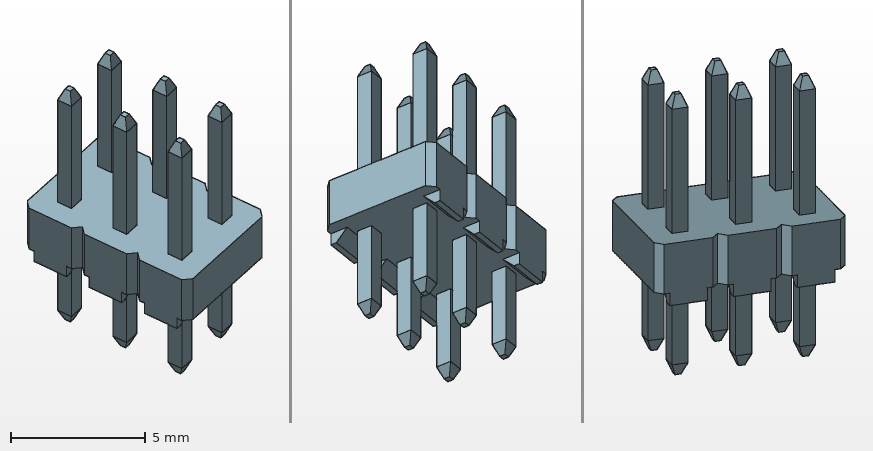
import cadquery as cq

columns = 3
rows = 2
pitch = 2.54

block_length = columns * pitch
block_width = 5.0
block_height = 2.0
notch_depth = 0.3

foot_length = 1.5
foot_height = 0.5
foot_bottom_width = 0.25
foot_top_width = foot_bottom_width + foot_height

pin_side = 0.64
pin_tip_side = 0.24
pin_tip_length = 0.5
pin_length = 11.3
pin_above_block = 5.5

block_top = foot_height + block_height
pin_top = block_top + pin_above_block
pin_bottom = pin_top - pin_length


def centred_positions(count):
    """Positions spaced by the pitch and centred on zero."""
    return [(index - (count - 1) / 2) * pitch for index in range(count)]


column_positions = centred_positions(columns)
row_positions = centred_positions(rows)


def make_block():
    """Rectangular block with chamfered corners and V-grooves between columns."""
    block = (
        cq.Workplane("XY", origin=(0, 0, foot_height))
        .rect(block_length, block_width)
        .extrude(block_height)
        .edges("|Z")
        .chamfer(notch_depth)
    )
    groove_positions = [
        (x, y)
        for x in centred_positions(columns - 1)
        for y in (-block_width / 2, block_width / 2)
    ]
    grooves = (
        cq.Workplane("XY", origin=(0, 0, foot_height))
        .pushPoints(groove_positions)
        .polygon(4, 2 * notch_depth)
        .extrude(block_height)
    )
    return block.cut(grooves)


def make_foot(x, side):
    """Foot below one column; side is -1 or +1 for the -Y or +Y long side."""
    outer_y = side * block_width / 2
    return (
        cq.Workplane("YZ", origin=(x - foot_length / 2, 0, 0))
        .moveTo(outer_y, 0)
        .lineTo(outer_y, foot_height)
        .lineTo(outer_y - side * foot_top_width, foot_height)
        .lineTo(outer_y - side * foot_bottom_width, 0)
        .close()
        .extrude(foot_length)
    )


def make_tip(x, y, base_z, direction):
    """Tapered pin end running from base_z up (+1) or down (-1)."""
    return (
        cq.Workplane("XY", origin=(x, y, base_z))
        .rect(pin_side, pin_side)
        .workplane(offset=direction * pin_tip_length)
        .rect(pin_tip_side, pin_tip_side)
        .loft(ruled=True)
    )


def make_pin(x, y):
    """Square pin tapered at both ends."""
    shank_bottom = pin_bottom + pin_tip_length
    shank_top = pin_top - pin_tip_length
    shank = (
        cq.Workplane("XY", origin=(x, y, shank_bottom))
        .rect(pin_side, pin_side)
        .extrude(shank_top - shank_bottom)
    )
    return shank.union(make_tip(x, y, shank_top, 1)).union(make_tip(x, y, shank_bottom, -1))


result = make_block()
for column_x in column_positions:
    for foot_side in (-1, 1):
        result = result.union(make_foot(column_x, foot_side))
    for row_y in row_positions:
        result = result.union(make_pin(column_x, row_y))